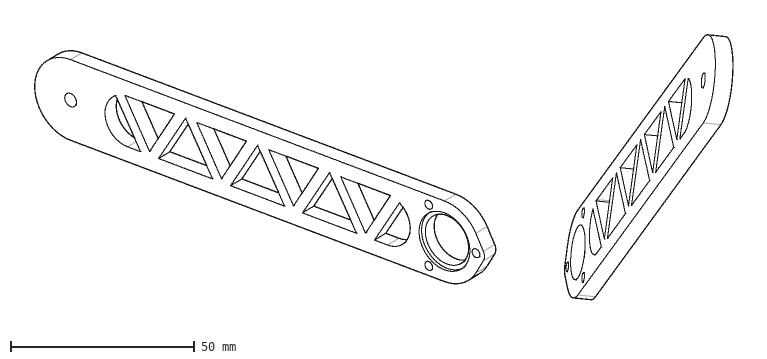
import cadquery as cq
import math

length = 156.5
height = 25.0
thickness = 5.0
end_radius = height / 2
pivot_x = end_radius
pivot_diameter = 4.0

bearing_x = 142.5
bore_diameter = 15.0
seat_diameter = 17.7
seat_depth = 1.1
screw_count = 3
screw_circle_radius = 11.0
screw_diameter = 2.7
nose_x = bearing_x + screw_circle_radius
nose_radius = length - nose_x

slot_length = 106.1
slot_height = 15.6
slot_x = (pivot_x + bearing_x) / 2
truss_pitch = height
lower_joint_count = 4
upright_half_base = 9.4
inverted_half_base = 8.6
inverted_height = 14.5


def prism(sketch):
    """Extrude a face sketch through the plate, from the front face at Y = 0."""
    return sketch.extrude(-thickness)


def face():
    return cq.Workplane("XZ")


def cylinder(x, z, diameter, depth=thickness):
    return face().center(x, z).circle(diameter / 2).extrude(-depth)


def triangle(x, base_z, half_base, tip_z):
    points = [(x - half_base, base_z), (x + half_base, base_z), (x, tip_z)]
    return prism(face().polyline(points).close())


def plate():
    """Rounded bar whose right end tapers tangentially to a small nose."""
    tangent_cos = (end_radius - nose_radius) / (nose_x - bearing_x)
    tangent_sin = math.sqrt(1 - tangent_cos**2)
    half_angle = (math.pi / 2 + math.acos(tangent_cos)) / 2

    shoulder_x = bearing_x + end_radius * tangent_cos
    shoulder_z = end_radius * tangent_sin
    middle_x = bearing_x + end_radius * math.cos(half_angle)
    middle_z = end_radius * math.sin(half_angle)
    nose_start_x = nose_x + nose_radius * tangent_cos
    nose_start_z = nose_radius * tangent_sin

    return prism(
        face()
        .moveTo(pivot_x, end_radius)
        .lineTo(bearing_x, end_radius)
        .threePointArc((middle_x, middle_z), (shoulder_x, shoulder_z))
        .lineTo(nose_start_x, nose_start_z)
        .threePointArc((length, 0), (nose_start_x, -nose_start_z))
        .lineTo(shoulder_x, -shoulder_z)
        .threePointArc((middle_x, -middle_z), (bearing_x, -end_radius))
        .lineTo(pivot_x, -end_radius)
        .threePointArc((0, 0), (pivot_x, end_radius))
        .close()
    )


def truss_windows():
    """Alternating triangles, trimmed to the round-ended slot."""
    top = slot_height / 2
    bottom = -top
    first_joint_x = slot_x - (lower_joint_count - 1) * truss_pitch / 2
    first_apex_x = first_joint_x - truss_pitch / 2

    windows = cq.Workplane("XZ")
    for i in range(lower_joint_count):
        joint_x = first_joint_x + i * truss_pitch
        windows = windows.add(triangle(joint_x, top, inverted_half_base, top - inverted_height))
    for i in range(lower_joint_count + 1):
        apex_x = first_apex_x + i * truss_pitch
        windows = windows.add(triangle(apex_x, bottom, upright_half_base, top))

    slot = prism(face().center(slot_x, 0).slot2D(slot_length, slot_height))
    return slot.intersect(windows.combine())


def bearing_cuts():
    """Through bore, shallow seat in the front face, and three screw holes."""
    cuts = cylinder(bearing_x, 0, bore_diameter)
    cuts = cuts.union(cylinder(bearing_x, 0, seat_diameter, seat_depth))
    for i in range(screw_count):
        angle = 2 * math.pi * i / screw_count
        screw_x = bearing_x + screw_circle_radius * math.cos(angle)
        screw_z = screw_circle_radius * math.sin(angle)
        cuts = cuts.union(cylinder(screw_x, screw_z, screw_diameter))
    return cuts


result = (
    plate()
    .cut(truss_windows())
    .cut(bearing_cuts())
    .cut(cylinder(pivot_x, 0, pivot_diameter))
)